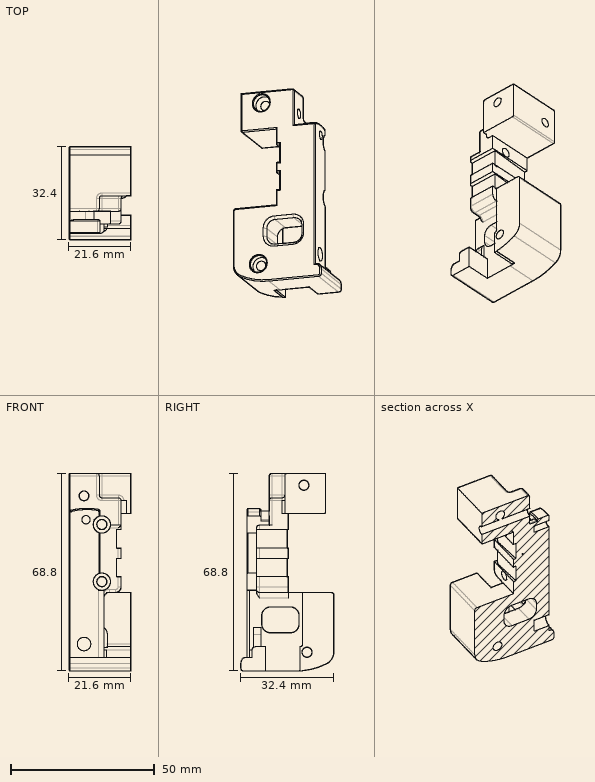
import cadquery as cq
import math

WIDTH = 21.6
DEPTH = 32.4
HEIGHT = 68.75
MARGIN = 1.0
TOLERANCE = 0.01
FAR_X = WIDTH + MARGIN
FAR_Y = DEPTH + MARGIN

EDGE_CHAMFER = 0.45
CHAMFER_ANGLE = 45
EDGE_RADIUS = 0.95

FRONT_Y = 2.1
LIP_TOP_Z = 4.75
LIP_FLAT_Y = 1.2
LIP_NOSE_Z = 2.6
LIP_TOE_RADIUS = 1.0
LIP_CREST_RADIUS = 0.5
SHELF_Z = 55.7
HEAD_FRONT_Y = 9.9
HEAD_BACK_Y = 29.5
HEAD_BOTTOM_Z = 54.7
HEAD_HEEL_RADIUS = 0.5
SPINE_BACK_Y = 16.6
FOOT_TOP_Z = 27.35
BELLY_START_Y = 19.3
BELLY_RADIUS = 23.3
HEEL_RADIUS = 4.7

PLATE_X = 10.9
WALL_X = 12.25
SPINE_X = 18.2

RECESS_X = 10.6
RECESS_Y = 15.3
RECESS_Z = 60.2

SOFT_WIDTH = 1.85
SOFT_DEPTH = 0.95
SOFT_RADIUS = (SOFT_WIDTH**2 + SOFT_DEPTH**2) / (2 * SOFT_DEPTH)

PLATE_BACK_Y = 7.0
PLATE_PEAK_X = 6.3
PLATE_PEAK_Z = 56.6
PLATE_ARC_RADIUS = 23.0
PLATE_CORNER_RADIUS = 1.0
WALL_TOP_Z = 28.0

LEDGE_X = 8.75
LEDGE_RADIUS = 3.0

RAIL_Y = 5.45
RAIL_TOP_Z = 50.7
RAIL_BOTTOM_Z = FOOT_TOP_Z
RAIL_EDGE_RADIUS = 1.05
RAIL_CORNER_RADIUS = 1.9

SLOT_SPANS = [(32.8, 39.1), (42.7, 49.2)]
SLOT_MOUTH_Y = 14.95
SLOT_INNER_Y = 16.25
SLOT_END_X = 16.6

FOOT_POCKET_BACK_Y = 21.5
BAR_FRONT_Y = 3.95
BAR_BACK_Y = 8.6
BAR_TOP_Z = 8.46
BAR_RADIUS = 1.1
BAR_BLEND_RADIUS = 0.9
RIB_X = 13.4
RIB_FRONT_Y = 4.4
RIB_SHOULDER_Z = 12.8
RIB_TOP_Z = 15.1

WINDOW_Y = 13.8
WINDOW_Z = 17.8
WINDOW_LENGTH = 12.9
WINDOW_HEIGHT = 8.9
WINDOW_RADIUS = 3.0
WINDOW_CHAMFER = 1.0

SCREW_DIAMETER = 3.4
HEAD_HOLE_DIAMETER = 3.3
COUNTERBORE_DIAMETER = 6.0
RAIL_HOLE_X = 11.5
RAIL_HOLE_ZS = (31.07, 50.95)
RAIL_COUNTERBORE_Y = 10.0
HEAD_HOLE = (5.3, 60.9)
SMALL_PIN_HOLE = (6.0, 52.6)
SMALL_PIN_DIAMETER = 2.9
LARGE_PIN_HOLE = (5.3, 9.4)
LARGE_PIN_DIAMETER = 4.7
PIN_DEPTH = 6.0
SIDE_HOLE_TOP = (21.95, 64.6)
SIDE_HOLE_FOOT = (23.05, 6.55)
SIDE_COUNTERBORE_DEPTH = 3.0
SIDE_HOLE_CHAMFER = 0.3


def box(x0, x1, y0, y1, z0, z1):
    return cq.Workplane("XY").box(x1 - x0, y1 - y0, z1 - z0, centered=False).translate((x0, y0, z0))


def edges_in(x0, x1, y0, y1, z0, z1):
    """Selects the edges that lie wholly inside the given bounds."""
    low = (x0 - TOLERANCE, y0 - TOLERANCE, z0 - TOLERANCE)
    high = (x1 + TOLERANCE, y1 + TOLERANCE, z1 + TOLERANCE)
    return cq.selectors.BoxSelector(low, high, boundingbox=True)


def cylinder_x(diameter, y, z, x0, x1):
    return cq.Workplane("YZ").center(y, z).circle(diameter / 2).extrude(x1 - x0).translate((x0, 0, 0))


def cone_x(radius_start, radius_end, y, z, x):
    """Cone along X narrowing at 45 degrees."""
    length = radius_start - radius_end
    cone = cq.Solid.makeCone(radius_start, radius_end, length, cq.Vector(x, y, z), cq.Vector(1, 0, 0))
    return cq.Workplane(cone)


def cylinder_y(diameter, x, z, y0, y1):
    return cq.Workplane("XZ").center(x, z).circle(diameter / 2).extrude(y0 - y1).translate((0, y0, 0))


def trim_to_stages(slab):
    """Cuts away the material beside the spine, in front of the head and around the foot."""
    slab = slab.cut(box(LEDGE_X, FAR_X, -MARGIN, FAR_Y, RAIL_BOTTOM_Z, RAIL_TOP_Z))
    slab = slab.cut(box(SPINE_X, FAR_X, -MARGIN, FAR_Y, RAIL_TOP_Z, HEAD_BOTTOM_Z))
    slab = slab.cut(box(LEDGE_X, FAR_X, -MARGIN, HEAD_FRONT_Y, RAIL_TOP_Z, HEIGHT))
    slab = slab.cut(box(SPINE_X, FAR_X, -MARGIN, RECESS_Y, HEAD_BOTTOM_Z, HEIGHT + MARGIN))
    slab = slab.cut(box(RECESS_X, FAR_X, -MARGIN, RECESS_Y, RECESS_Z, HEIGHT + MARGIN))
    slab = slab.cut(box(WALL_X, FAR_X, 0, BAR_BACK_Y, LIP_TOP_Z, FOOT_TOP_Z))
    return slab.cut(box(WALL_X, FAR_X, BAR_BACK_Y, FOOT_POCKET_BACK_Y, -MARGIN, FOOT_TOP_Z))


def round_head(body):
    """Rounds the head's front edges and the hollow corners of its recess."""
    recess_corners = [(RECESS_X, RECESS_Z), (SPINE_X, RECESS_Z)]
    for x, z in recess_corners:
        body = body.edges(edges_in(x, x, HEAD_FRONT_Y, RECESS_Y, z, z)).fillet(EDGE_RADIUS)
    hollow = edges_in(RECESS_X, SPINE_X, RECESS_Y, RECESS_Y, RECESS_Z - EDGE_RADIUS, HEIGHT)
    body = body.edges(hollow).fillet(EDGE_RADIUS)
    front = edges_in(RECESS_X, SPINE_X, HEAD_FRONT_Y, HEAD_FRONT_Y, RAIL_TOP_Z, HEIGHT)
    body = body.edges(front).fillet(EDGE_RADIUS)
    top = edges_in(0, WIDTH, HEAD_FRONT_Y, RECESS_Y, HEIGHT, HEIGHT)
    return body.edges(top).fillet(EDGE_RADIUS)


def spine_blend():
    """Hollow blend between the side of the spine and the front of the head."""
    return (
        cq.Workplane("XY", origin=(0, 0, HEAD_BOTTOM_Z))
        .moveTo(SPINE_X, RECESS_Y)
        .lineTo(SPINE_X, RECESS_Y - SOFT_DEPTH)
        .radiusArc((SPINE_X + SOFT_WIDTH, RECESS_Y), -SOFT_RADIUS)
        .close()
        .extrude(RECESS_Z - EDGE_RADIUS - HEAD_BOTTOM_Z)
    )


def rail():
    """Front of the spine, its underside curving down into the foot's side wall."""
    tail_z = RAIL_BOTTOM_Z - 2 * RAIL_CORNER_RADIUS
    block = (
        cq.Workplane("XZ", origin=(0, RAIL_Y, 0))
        .moveTo(LEDGE_X, tail_z)
        .lineTo(WALL_X, tail_z)
        .lineTo(WALL_X, RAIL_BOTTOM_Z - RAIL_CORNER_RADIUS)
        .radiusArc((WALL_X + RAIL_CORNER_RADIUS, RAIL_BOTTOM_Z), RAIL_CORNER_RADIUS)
        .lineTo(SPINE_X - RAIL_CORNER_RADIUS, RAIL_BOTTOM_Z)
        .radiusArc((SPINE_X, RAIL_BOTTOM_Z + RAIL_CORNER_RADIUS), -RAIL_CORNER_RADIUS)
        .lineTo(SPINE_X, RAIL_TOP_Z)
        .lineTo(LEDGE_X, RAIL_TOP_Z)
        .close()
        .extrude(RAIL_Y - SPINE_BACK_Y)
    )
    rim = edges_in(WALL_X, SPINE_X, RAIL_Y, RAIL_Y, RAIL_BOTTOM_Z - RAIL_CORNER_RADIUS, RAIL_TOP_Z)
    top_rim = edges_in(LEDGE_X, SPINE_X, RAIL_Y, RAIL_Y, RAIL_TOP_Z, RAIL_TOP_Z)
    return block.edges(rim + top_rim).fillet(RAIL_EDGE_RADIUS)


def front_plate():
    """Plate with a domed top edge, raised on the front."""
    def dome_z(x):
        return PLATE_PEAK_Z - PLATE_ARC_RADIUS + math.sqrt(PLATE_ARC_RADIUS**2 - (x - PLATE_PEAK_X) ** 2)

    plate_bottom = WALL_TOP_Z - 2 * MARGIN
    plate = (
        cq.Workplane("XZ", origin=(0, FRONT_Y, 0))
        .moveTo(EDGE_CHAMFER, plate_bottom)
        .lineTo(EDGE_CHAMFER, dome_z(EDGE_CHAMFER))
        .radiusArc((PLATE_X, dome_z(PLATE_X)), PLATE_ARC_RADIUS)
        .lineTo(PLATE_X, plate_bottom)
        .close()
        .extrude(FRONT_Y - PLATE_BACK_Y)
    )
    corner = edges_in(PLATE_X, PLATE_X, FRONT_Y, PLATE_BACK_Y, RAIL_TOP_Z, PLATE_PEAK_Z)
    plate = plate.edges(corner).fillet(PLATE_CORNER_RADIUS)
    return plate.faces("<Y or >Y").edges().chamfer(EDGE_CHAMFER)


def add_plate_and_wall(body):
    """Plate, the rounded ledge behind it and the wider side wall below it."""
    ledge = edges_in(LEDGE_X, LEDGE_X, FRONT_Y, HEAD_FRONT_Y, SHELF_Z, SHELF_Z)
    body = body.edges(ledge).fillet(LEDGE_RADIUS)
    body = body.union(box(LEDGE_X, WALL_X, FRONT_Y, RAIL_Y + MARGIN, RAIL_BOTTOM_Z - MARGIN, WALL_TOP_Z))
    corner_waste = (
        cq.Workplane("XY", origin=(0, 0, LIP_TOP_Z))
        .moveTo(WALL_X - SOFT_WIDTH, FRONT_Y)
        .radiusArc((WALL_X, FRONT_Y + SOFT_DEPTH), -SOFT_RADIUS)
        .lineTo(WALL_X, FRONT_Y)
        .close()
        .extrude(WALL_TOP_Z - LIP_TOP_Z)
    )
    return body.union(front_plate()).cut(corner_waste)


def foot_bar():
    """Bar across the foot behind the lip, with a hollow blend and a rib against the side wall."""
    bar_shoulder_z = BAR_TOP_Z - BAR_RADIUS
    bar = (
        cq.Workplane("YZ", origin=(WALL_X, 0, 0))
        .moveTo(BAR_BACK_Y, 0)
        .lineTo(BAR_BACK_Y, BAR_TOP_Z)
        .lineTo(BAR_FRONT_Y + BAR_RADIUS, BAR_TOP_Z)
        .radiusArc((BAR_FRONT_Y, bar_shoulder_z), -BAR_RADIUS)
        .lineTo(BAR_FRONT_Y, 0)
        .close()
        .extrude(WIDTH - WALL_X)
    )
    blend = (
        cq.Workplane("XY", origin=(0, 0, LIP_TOP_Z))
        .moveTo(WALL_X, BAR_FRONT_Y - BAR_BLEND_RADIUS)
        .radiusArc((WALL_X + BAR_BLEND_RADIUS, BAR_FRONT_Y), -BAR_BLEND_RADIUS)
        .lineTo(WALL_X, BAR_FRONT_Y)
        .close()
        .extrude(bar_shoulder_z - LIP_TOP_Z)
    )
    rise = RIB_TOP_Z - RIB_SHOULDER_Z
    reach = RIB_X - WALL_X
    rib = (
        cq.Workplane("XZ", origin=(0, RIB_FRONT_Y, 0))
        .moveTo(WALL_X, bar_shoulder_z)
        .lineTo(RIB_X, bar_shoulder_z)
        .lineTo(RIB_X, RIB_SHOULDER_Z)
        .radiusArc((WALL_X, RIB_TOP_Z), -(reach**2 + rise**2) / (2 * reach))
        .close()
        .extrude(RIB_FRONT_Y - PLATE_BACK_Y)
    )
    return bar.union(blend).union(rib)


def pocket_toe():
    """Low toe at the back of the foot pocket, rising into the rear block in a hollow curve."""
    toe_y = FOOT_POCKET_BACK_Y - EDGE_RADIUS
    return (
        cq.Workplane("YZ", origin=(WALL_X, 0, 0))
        .moveTo(FOOT_POCKET_BACK_Y, 0)
        .lineTo(FOOT_POCKET_BACK_Y, BAR_TOP_Z + EDGE_RADIUS)
        .radiusArc((toe_y, BAR_TOP_Z), EDGE_RADIUS)
        .lineTo(toe_y, 0)
        .close()
        .extrude(WIDTH - WALL_X)
    )


def side_slab():
    """Full-width slab with the side outline, its edges chamfered at X = 0."""
    belly_rise = BELLY_RADIUS - math.sqrt(BELLY_RADIUS**2 - (DEPTH - BELLY_START_Y) ** 2)
    nose_y, nose_z = LIP_FLAT_Y, LIP_TOP_Z - LIP_NOSE_Z
    nose_radius = (nose_y**2 + nose_z**2) / (2 * nose_y)
    slab = (
        cq.Workplane("YZ")
        .lineTo(BELLY_START_Y, 0)
        .radiusArc((DEPTH, belly_rise), -BELLY_RADIUS)
        .lineTo(DEPTH, FOOT_TOP_Z)
        .lineTo(SPINE_BACK_Y, FOOT_TOP_Z)
        .lineTo(SPINE_BACK_Y, HEAD_BOTTOM_Z)
        .lineTo(HEAD_BACK_Y, HEAD_BOTTOM_Z)
        .lineTo(HEAD_BACK_Y, HEIGHT)
        .lineTo(HEAD_FRONT_Y, HEIGHT)
        .lineTo(HEAD_FRONT_Y, SHELF_Z)
        .lineTo(FRONT_Y + EDGE_CHAMFER, SHELF_Z)
        .lineTo(FRONT_Y, SHELF_Z - EDGE_CHAMFER)
        .lineTo(FRONT_Y, LIP_TOP_Z)
        .lineTo(LIP_FLAT_Y, LIP_TOP_Z)
        .radiusArc((0, LIP_NOSE_Z), -nose_radius)
        .close()
        .extrude(WIDTH)
    )
    corners = [
        (0, 0, LIP_TOE_RADIUS),
        (LIP_FLAT_Y, LIP_TOP_Z, LIP_CREST_RADIUS),
        (DEPTH, belly_rise, HEEL_RADIUS),
        (DEPTH, FOOT_TOP_Z, EDGE_RADIUS),
        (HEAD_BACK_Y, HEAD_BOTTOM_Z, HEAD_HEEL_RADIUS),
    ]
    for y, z, radius in corners:
        slab = slab.edges(edges_in(0, WIDTH, y, y, z, z)).fillet(radius)
    return slab.faces("<X").edges().chamfer(EDGE_CHAMFER)


def slot_cutter(z0, z1):
    """Slot across the back of the spine: chamfered mouth, rising floor, opening through the rail."""
    open_y = SPINE_BACK_Y + MARGIN
    mouth = (
        cq.Workplane("YZ", origin=(0, 0, (z0 + z1) / 2))
        .center(open_y, 0)
        .rect(2 * (open_y - SLOT_MOUTH_Y), z1 - z0 + 2 * EDGE_CHAMFER)
        .extrude(EDGE_CHAMFER, taper=CHAMFER_ANGLE)
    )
    ramp = (
        cq.Workplane("XY", origin=(0, 0, z0))
        .moveTo(0, SLOT_MOUTH_Y + EDGE_CHAMFER)
        .lineTo(EDGE_CHAMFER, SLOT_MOUTH_Y + EDGE_CHAMFER)
        .lineTo(SLOT_END_X, SLOT_INNER_Y)
        .lineTo(SLOT_END_X, open_y)
        .lineTo(0, open_y)
        .close()
        .extrude(z1 - z0)
    )
    opening = box(SLOT_END_X, FAR_X, 0, open_y, z0, z1)
    return mouth.union(ramp).union(opening)


def window_cutter():
    """Rounded window through the foot, chamfered at X = 0."""
    plane = cq.Workplane("YZ", origin=(0, WINDOW_Y, WINDOW_Z))
    tunnel = (
        plane.sketch()
        .rect(WINDOW_LENGTH, WINDOW_HEIGHT)
        .vertices()
        .fillet(WINDOW_RADIUS)
        .finalize()
        .extrude(WIDTH)
    )
    mouth = (
        plane.sketch()
        .rect(WINDOW_LENGTH + 2 * WINDOW_CHAMFER, WINDOW_HEIGHT + 2 * WINDOW_CHAMFER)
        .vertices()
        .fillet(WINDOW_RADIUS + WINDOW_CHAMFER)
        .finalize()
        .extrude(WINDOW_CHAMFER, taper=CHAMFER_ANGLE)
    )
    return tunnel.union(mouth)


def side_hole_cutter(y, z, conical):
    """Counterbored screw hole along X; a conical floor tapers down to the screw hole."""
    bore = cylinder_x(COUNTERBORE_DIAMETER, y, z, 0, SIDE_COUNTERBORE_DEPTH)
    screw = cylinder_x(SCREW_DIAMETER, y, z, 0, WIDTH)
    mouth_radius = COUNTERBORE_DIAMETER / 2 + SIDE_HOLE_CHAMFER
    cutter = bore.union(screw).union(cone_x(mouth_radius, COUNTERBORE_DIAMETER / 2, y, z, 0))
    if conical:
        cutter = cutter.union(
            cone_x(COUNTERBORE_DIAMETER / 2, SCREW_DIAMETER / 2, y, z, SIDE_COUNTERBORE_DEPTH)
        )
    return cutter


def cut_holes(body):
    for z in RAIL_HOLE_ZS:
        body = body.cut(cylinder_y(COUNTERBORE_DIAMETER, RAIL_HOLE_X, z, 0, RAIL_COUNTERBORE_Y))
        body = body.cut(cylinder_y(SCREW_DIAMETER, RAIL_HOLE_X, z, 0, DEPTH))
    body = body.cut(cylinder_y(HEAD_HOLE_DIAMETER, *HEAD_HOLE, 0, DEPTH))
    body = body.cut(cylinder_y(SMALL_PIN_DIAMETER, *SMALL_PIN_HOLE, 0, FRONT_Y + PIN_DEPTH))
    body = body.cut(cylinder_y(LARGE_PIN_DIAMETER, *LARGE_PIN_HOLE, LIP_FLAT_Y, FRONT_Y + PIN_DEPTH))
    body = body.cut(side_hole_cutter(*SIDE_HOLE_TOP, conical=True))
    return body.cut(side_hole_cutter(*SIDE_HOLE_FOOT, conical=False))


body = round_head(trim_to_stages(side_slab())).union(spine_blend())
body = add_plate_and_wall(body.union(rail())).union(foot_bar()).union(pocket_toe())
for slot_bottom, slot_top in SLOT_SPANS:
    body = body.cut(slot_cutter(slot_bottom, slot_top))
body = body.cut(window_cutter())
result = cut_holes(body)